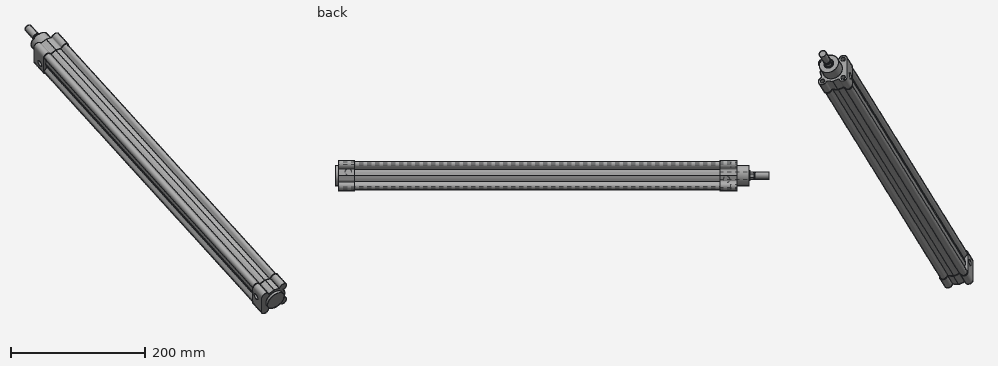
import cadquery as cq


ROD_TIP = 0.0
THREAD_END = 20.5
SHANK_START = 22.5
COLLAR_FACE = 28.5
FRONT_BOSS_FACE = 30.0
FRONT_COVER_FACE = 48.0
TUBE_START = 73.0
TUBE_END = 617.5
REAR_COVER_FACE = 641.5
REAR_BOSS_FACE = 646.0

THREAD_DIAMETER = 11.0
NECK_DIAMETER = 9.0
ROD_DIAMETER = 11.5
ROD_FLATS_WIDTH = 10.5

COVER_SIZE = 45.0
LOBE_RADIUS = 6.5
LOBE_OFFSET = COVER_SIZE / 2 - LOBE_RADIUS
RIDGE_OFFSET = 20.0
SHOULDER_OFFSET = 18.0
SHOULDER_HALF_WIDTH = 7.0
CORNER_OFFSET = 14.0
VALLEY_RADIUS = 2.25
BOSS_DIAMETER = 30.5
COLLAR_DIAMETER = 15.0
SCREW_HOLE_DIAMETER = 6.5
SCREW_HOLE_DEPTH = 10.0
PORT_DIAMETER = 10.0
PORT_DEPTH = 6.5
PORT_OFFSET = 5.5
FRONT_PORT_X = 63.0
REAR_PORT_X = 626.5

TUBE_SIZE = 42.5
ARM_RADIUS = 5.0
ARM_ANGLES = (45, -45)
ARM_OFFSET = TUBE_SIZE / 2 - ARM_RADIUS
CORE_RIDGE_OFFSET = 19.0
CORE_SHOULDER_OFFSET = 17.75
CORE_SHOULDER_HALF_WIDTH = 4.85
CORE_CORNER_OFFSET = 14.0

SIDE_COUNT = 4
CORNER_SIGNS = [(-1, -1), (-1, 1), (1, -1), (1, 1)]
LOBE_CENTRES = [(y * LOBE_OFFSET, z * LOBE_OFFSET) for y, z in CORNER_SIGNS]


def plane_at(x):
    """Plane across the cylinder axis at x, with its local axes along Y and Z."""
    return cq.Workplane("YZ", origin=(x, 0, 0))


def round_bar(diameter, start, end):
    """Round bar on the cylinder axis."""
    return plane_at(start).circle(diameter / 2).extrude(end - start)


def ridged_bar(ridge, shoulder, shoulder_half_width, corner, start, end):
    """Bar with four equal roof-like sides, each falling from a ridge over shoulders to the corners."""
    side = [
        (shoulder, -shoulder_half_width),
        (ridge, 0),
        (shoulder, shoulder_half_width),
        (corner, corner),
    ]
    outline = []
    for _ in range(SIDE_COUNT):
        outline += side
        side = [(-z, y) for y, z in side]
    return plane_at(start).polyline(outline).close().extrude(end - start)


def cover_block(start, end):
    """Ridged body with a round lobe at each corner, and a flat -Y side."""
    length = end - start
    body = ridged_bar(
        RIDGE_OFFSET, SHOULDER_OFFSET, SHOULDER_HALF_WIDTH, CORNER_OFFSET, start, end
    )
    lobes = plane_at(start).pushPoints(LOBE_CENTRES).circle(LOBE_RADIUS).extrude(length)
    flat_side = (
        plane_at(start)
        .center(-(COVER_SIZE - LOBE_RADIUS) / 2, 0)
        .rect(LOBE_RADIUS, 2 * LOBE_OFFSET)
        .extrude(length)
    )
    backing = (
        plane_at(start)
        .polyline([(0, 0), (-LOBE_OFFSET, LOBE_OFFSET), (-LOBE_OFFSET, -LOBE_OFFSET)])
        .close()
        .extrude(length)
    )
    return body.union(lobes).union(flat_side).union(backing)


def round_valleys(block):
    """Round the creases where the body meets the lobes, found near each lobe's inner side."""
    crease_offset = LOBE_OFFSET - LOBE_RADIUS
    tolerance = (crease_offset - SHOULDER_HALF_WIDTH) / 2
    creases = []
    for edge in block.edges("|X").vals():
        middle = edge.Center()
        if abs(min(abs(middle.y), abs(middle.z)) - crease_offset) < tolerance:
            creases.append(edge)
    return block.newObject(creases).fillet(VALLEY_RADIUS)


def port(x, z):
    """Air port running inward from the flat -Y side."""
    face = cq.Workplane("XZ", origin=(x, -COVER_SIZE / 2, z))
    return face.circle(PORT_DIAMETER / 2).extrude(-PORT_DEPTH)


def make_rod():
    """Rod with a threaded tip, a neck and two wrench flats, reaching back to the tube."""
    thread = round_bar(THREAD_DIAMETER, ROD_TIP, THREAD_END)
    neck = round_bar(NECK_DIAMETER, THREAD_END, SHANK_START)
    shank = round_bar(ROD_DIAMETER, SHANK_START, TUBE_START)
    flats_length = COLLAR_FACE - SHANK_START
    flats_sleeve = (
        plane_at(SHANK_START)
        .rect(2 * ROD_DIAMETER, 2 * ROD_DIAMETER)
        .rect(ROD_FLATS_WIDTH, 2 * ROD_DIAMETER)
        .extrude(flats_length)
    )
    return thread.union(neck).union(shank.cut(flats_sleeve))


def make_front_cover():
    """Front cover with its boss, rod collar, screw holes and port, bored for the rod."""
    cover = round_valleys(cover_block(FRONT_COVER_FACE, TUBE_START))
    cover = cover.union(round_bar(BOSS_DIAMETER, FRONT_BOSS_FACE, FRONT_COVER_FACE))
    cover = cover.union(round_bar(COLLAR_DIAMETER, COLLAR_FACE, FRONT_BOSS_FACE))
    screw_holes = (
        plane_at(FRONT_COVER_FACE)
        .pushPoints(LOBE_CENTRES)
        .circle(SCREW_HOLE_DIAMETER / 2)
        .extrude(SCREW_HOLE_DEPTH)
    )
    rod_bore = round_bar(ROD_DIAMETER, COLLAR_FACE, TUBE_START)
    return cover.cut(screw_holes).cut(port(FRONT_PORT_X, -PORT_OFFSET)).cut(rod_bore)


def make_tube():
    """Ridged core with a round-ended arm reaching out to each corner."""
    length = TUBE_END - TUBE_START
    tube = ridged_bar(
        CORE_RIDGE_OFFSET,
        CORE_SHOULDER_OFFSET,
        CORE_SHOULDER_HALF_WIDTH,
        CORE_CORNER_OFFSET,
        TUBE_START,
        TUBE_END,
    )
    arm_length = 2 * (ARM_OFFSET * 2**0.5 + ARM_RADIUS)
    for angle in ARM_ANGLES:
        arm_pair = plane_at(TUBE_START).slot2D(arm_length, 2 * ARM_RADIUS, angle).extrude(length)
        tube = tube.union(arm_pair)
    return tube


def make_rear_cover():
    """Rear cover with its centring boss and port."""
    cover = cover_block(TUBE_END, REAR_COVER_FACE)
    cover = cover.union(round_bar(BOSS_DIAMETER, REAR_COVER_FACE, REAR_BOSS_FACE))
    return cover.cut(port(REAR_PORT_X, PORT_OFFSET))


rod = make_rod()
front_cover = make_front_cover()
tube = make_tube()
rear_cover = make_rear_cover()

result = cq.Compound.makeCompound(
    [rod.val(), front_cover.val(), tube.val(), rear_cover.val()]
)